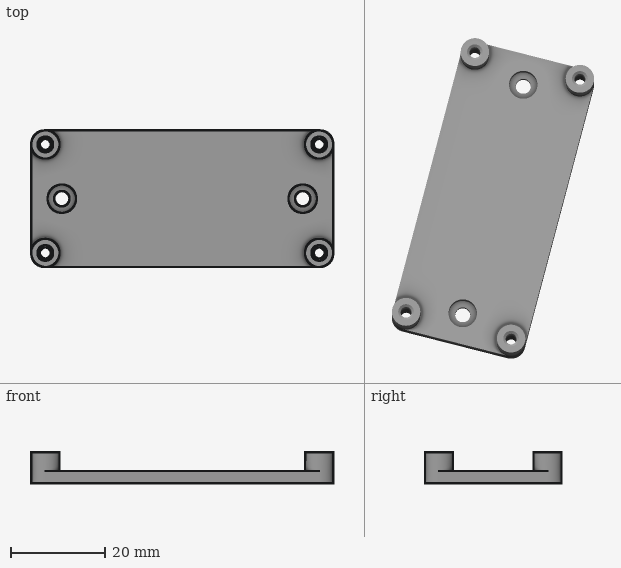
import cadquery as cq
import math

length = 64.0
width = 29.0
plate_thickness = 2.6

post_height = 6.6
post_diameter = 6.0
post_hole_diameter = 2.3
countersink_diameter = 3.3
countersink_depth = 0.5
countersink_angle = 2 * math.degrees(
    math.atan((countersink_diameter - post_hole_diameter) / 2 / countersink_depth)
)
post_spacing_x = length - post_diameter
post_spacing_y = width - post_diameter

mount_spacing = 51.0
mount_hole_diameter = 3.2
mount_bore_diameter = 6.0
mount_bore_depth = 1.6


def make_plate():
    long_slab = cq.Workplane("XY").box(
        length, post_spacing_y, plate_thickness, centered=(True, True, False)
    )
    wide_slab = cq.Workplane("XY").box(
        post_spacing_x, width, plate_thickness, centered=(True, True, False)
    )
    return long_slab.union(wide_slab)


def add_posts(body):
    posts = (
        cq.Workplane("XY")
        .rect(post_spacing_x, post_spacing_y, forConstruction=True)
        .vertices()
        .circle(post_diameter / 2)
        .extrude(post_height)
    )
    return body.union(posts)


def cut_post_holes(body):
    return (
        body.faces(">Z")
        .workplane(origin=(0, 0, post_height))
        .rect(post_spacing_x, post_spacing_y, forConstruction=True)
        .vertices()
        .cskHole(post_hole_diameter, countersink_diameter, countersink_angle)
    )


def cut_mount_holes(body):
    return (
        body.copyWorkplane(cq.Workplane("XY", origin=(0, 0, plate_thickness)))
        .pushPoints([(-mount_spacing / 2, 0), (mount_spacing / 2, 0)])
        .cboreHole(mount_hole_diameter, mount_bore_diameter, mount_bore_depth)
    )


result = cut_mount_holes(cut_post_holes(add_posts(make_plate())))